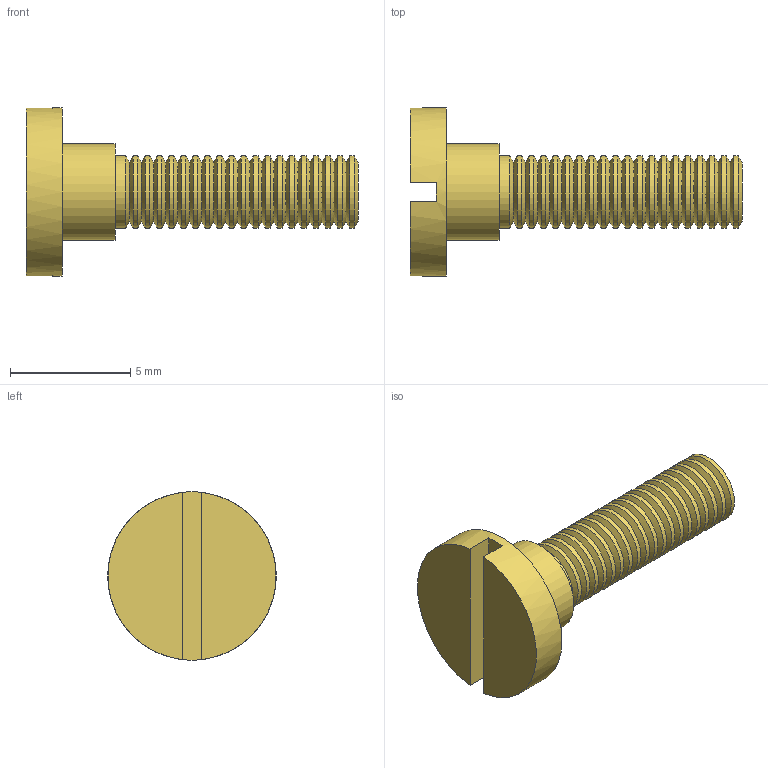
import cadquery as cq
import math

head_diameter = 7.0
head_height = 1.5
shoulder_diameter = 4.0
shoulder_length = 2.2
slot_width = 0.8
slot_depth = 1.1

thread_diameter = 3.0
thread_pitch = 0.5
thread_length = 10.0
neck_length = 0.1

thread_angle = 60.0
depth_to_pitch = 0.5413
groove_depth = depth_to_pitch * thread_pitch
groove_half_width = groove_depth * math.tan(math.radians(thread_angle / 2))

shoulder_end = head_height + shoulder_length
screw_length = shoulder_end + neck_length + thread_length
groove_count = round(thread_length / thread_pitch) - 1

head_radius = head_diameter / 2
shoulder_radius = shoulder_diameter / 2
crest_radius = thread_diameter / 2
root_radius = crest_radius - groove_depth


def groove_points(center):
    """Profile points of one V-groove: near crest, root, far crest."""
    return [
        (center - groove_half_width, crest_radius),
        (center, root_radius),
        (center + groove_half_width, crest_radius),
    ]


def screw_profile():
    """Half outline of the screw as (X, radius) points."""
    points = [
        (0, 0),
        (0, head_radius),
        (head_height, head_radius),
        (head_height, shoulder_radius),
        (shoulder_end, shoulder_radius),
        (shoulder_end, crest_radius),
    ]
    for pitches_from_tip in range(groove_count, 0, -1):
        points += groove_points(screw_length - pitches_from_tip * thread_pitch)
    points += [
        (screw_length - groove_half_width, crest_radius),
        (screw_length, root_radius),
        (screw_length, 0),
    ]
    return points


def turned_body():
    """Head, shoulder and threaded shank turned about the X axis."""
    profile = cq.Workplane("XZ").polyline(screw_profile()).close()
    return profile.revolve(axisStart=(0, 0, 0), axisEnd=(1, 0, 0))


def driver_slot():
    """Straight slot across the head face, running along Z."""
    return cq.Workplane("XY").box(slot_depth, slot_width, head_diameter, centered=(False, True, True))


result = turned_body().cut(driver_slot())